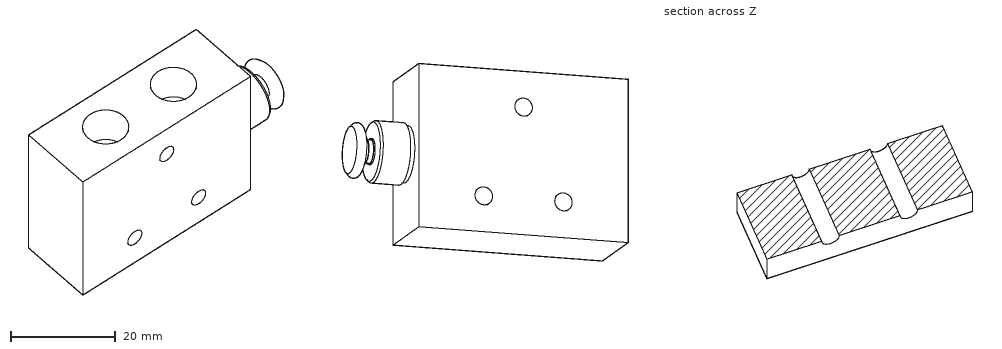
import cadquery as cq
import math

total_length = 54
body_width = 16.0
body_length = 42.0
body_height = 32.0

port_mouth_diameter = 8.8
port_floor_diameter = 8.3
port_depth = 8.1
port_positions = (12.55, 29.5)

mount_diameter = 3.5
mount_pair_spacing = 16.0
mount_center_y = 21.0
mount_lower_z = 7
mount_upper_z = 25.0

neck_diameter = 11.0
neck_length = 0.95
collar_diameter = 12.0
collar_length = 6.0
collar_chamfer_length = 0.5
collar_chamfer_depth = 0.3
stem_diameter = 5.0
stem_base_length = 0.25
groove_diameter = 4.6
groove_length = 0.95
cap_diameter = 10.7
cap_thickness = 2.65
cap_rim_radius = 0.8
dome_base_diameter = 9.05

button_length = total_length - body_length


def make_body():
    return cq.Workplane("XY").box(
        body_width, body_length, body_height, centered=(True, False, False)
    )


def make_port(y):
    return cq.Workplane("XY").add(
        cq.Solid.makeCone(
            port_mouth_diameter / 2,
            port_floor_diameter / 2,
            port_depth,
            pnt=cq.Vector(0, y, body_height),
            dir=cq.Vector(0, 0, -1),
        )
    )


def make_mount_holes():
    half_spacing = mount_pair_spacing / 2
    centers = [
        (mount_center_y - half_spacing, mount_lower_z),
        (mount_center_y + half_spacing, mount_lower_z),
        (mount_center_y, mount_upper_z),
    ]
    return (
        cq.Workplane("YZ")
        .pushPoints(centers)
        .circle(mount_diameter / 2)
        .extrude(body_width / 2, both=True)
    )


def make_button():
    """Revolve a half profile (radius, height) about the button axis."""
    collar_radius = collar_diameter / 2
    stem_radius = stem_diameter / 2
    groove_radius = groove_diameter / 2
    rim_center_radius = cap_diameter / 2 - cap_rim_radius

    collar_end = neck_length + collar_length
    groove_start = collar_end + stem_base_length
    groove_end = groove_start + groove_length
    cap_start = button_length - cap_thickness
    rim_middle = cap_start + cap_rim_radius

    diagonal_offset = cap_rim_radius * math.sin(math.radians(45))
    rim_end_radius = rim_center_radius + diagonal_offset
    rim_end = rim_middle + diagonal_offset
    dome_base_radius = dome_base_diameter / 2
    dome_start = rim_end + rim_end_radius - dome_base_radius
    dome_height = button_length - dome_start

    dome_radius = (dome_base_radius**2 + dome_height**2) / (2 * dome_height)
    dome_mid_radius = dome_base_radius / 2
    dome_mid_height = (
        button_length - dome_radius + math.sqrt(dome_radius**2 - dome_mid_radius**2)
    )

    profile = (
        cq.Workplane("XY")
        .lineTo(neck_diameter / 2, 0)
        .lineTo(neck_diameter / 2, neck_length)
        .lineTo(collar_radius, neck_length)
        .lineTo(collar_radius, collar_end - collar_chamfer_length)
        .lineTo(collar_radius - collar_chamfer_depth, collar_end)
        .lineTo(stem_radius, collar_end)
        .lineTo(stem_radius, groove_start)
        .lineTo(groove_radius, groove_start)
        .lineTo(groove_radius, groove_end)
        .lineTo(stem_radius, groove_end)
        .lineTo(stem_radius, cap_start)
        .lineTo(rim_center_radius, cap_start)
        .threePointArc((cap_diameter / 2, rim_middle), (rim_end_radius, rim_end))
        .lineTo(dome_base_radius, dome_start)
        .threePointArc((dome_mid_radius, dome_mid_height), (0, button_length))
        .close()
    )
    return profile.revolve(360, (0, 0, 0), (0, 1, 0)).translate(
        (0, body_length, body_height / 2)
    )


result = make_body().union(make_button()).cut(make_mount_holes())
for port_y in port_positions:
    result = result.cut(make_port(port_y))